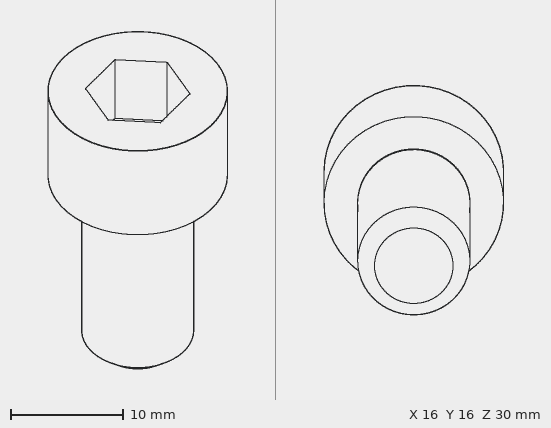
import cadquery as cq
import math

total_length = 30.0
head_diameter = 16.0
head_height = 10.0
shank_diameter = 10.0
shank_length = total_length - head_height
tip_chamfer = 1.5
head_edge_chamfer = 0.03

neck_diameter = 10.02
neck_length = 0.18

socket_across_flats = 8.07
socket_across_corners = socket_across_flats / math.cos(math.pi / 6)
socket_depth = 7.0


def make_head():
    head = cq.Workplane("XY").circle(head_diameter / 2).extrude(head_height)
    return head.faces(">Z").edges().chamfer(head_edge_chamfer)


def make_shank():
    shank = cq.Workplane("XY").circle(shank_diameter / 2).extrude(-shank_length)
    return shank.faces("<Z").edges().chamfer(tip_chamfer)


def make_socket():
    top = cq.Workplane("XY").workplane(offset=head_height)
    return top.polygon(6, socket_across_corners).extrude(-socket_depth)


def make_neck():
    return cq.Workplane("XY").circle(neck_diameter / 2).extrude(-neck_length)


screw = make_head().union(make_shank()).union(make_neck())
result = screw.cut(make_socket())